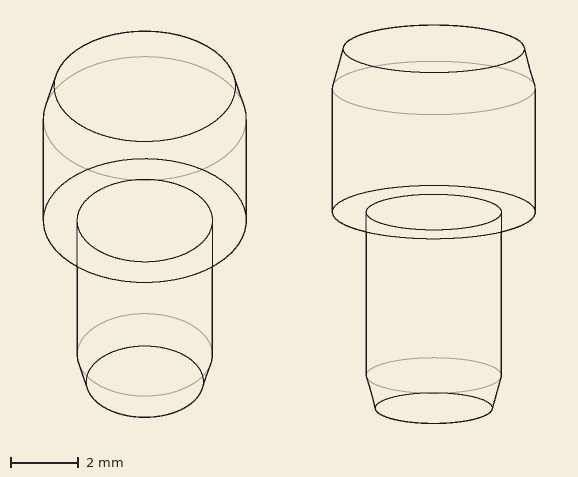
import cadquery as cq
import math

head_diameter = 6.0
head_length = 5.0
head_taper_length = 1.2
shank_diameter = 4.0
shank_length = 6.0
shank_taper_length = 1.0
taper_angle = 15.0

head_radius = head_diameter / 2
shank_radius = shank_diameter / 2
taper_slope = math.tan(math.radians(taper_angle))
head_top_radius = head_radius - head_taper_length * taper_slope
shank_tip_radius = shank_radius - shank_taper_length * taper_slope


def stepped_pin():
    """Revolve the half profile about Z, with the shoulder under the head at Z = 0."""
    half_profile = (
        cq.Workplane("XZ")
        .moveTo(0, -shank_length)
        .lineTo(shank_tip_radius, -shank_length)
        .lineTo(shank_radius, shank_taper_length - shank_length)
        .lineTo(shank_radius, 0)
        .lineTo(head_radius, 0)
        .lineTo(head_radius, head_length - head_taper_length)
        .lineTo(head_top_radius, head_length)
        .lineTo(0, head_length)
        .close()
    )
    return half_profile.revolve(360, (0, 0, 0), (0, 1, 0))


result = stepped_pin()